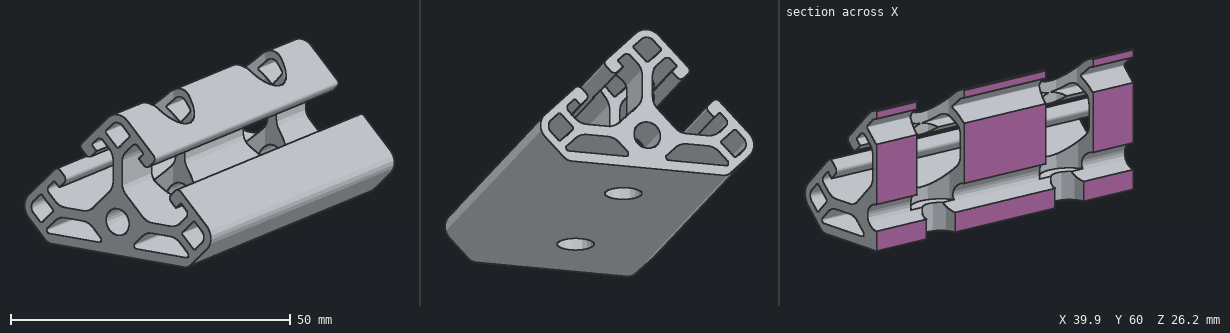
import cadquery as cq
import math

LENGTH = 60.0
FACE_DISTANCE = 15.0
BORE_HEIGHT = 6.25
WALL = 1.5
BASE_THICKNESS = 1.85
WEB_THICKNESS = 1.9
BORE_DIAMETER = 4.9
APEX_RADIUS = 3.05
BASE_CORNER_RADIUS = 2.0

MOUTH_HALF_WIDTH = 3.25
HOOK_HALF_WIDTH = 5.65
CAVITY_HALF_WIDTH = 8.15
SLOT_FLOOR = 5.05
LIP_THICKNESS = 3.0
LIP_RADIUS = 0.9
HOOK_RADIUS = 0.2
SLOT_CORNER_RADIUS = 0.9
SLOT_WEB_RADIUS = 3.0

CELL_INNER = 9.65
CELL_RADIUS = 0.3
BASE_HOLLOW_RADIUS = 3.0
BASE_HOLLOW_TIP_RADIUS = 0.55

SCREW_SPACING = 30.0
SCREW_DIAMETER = 6.6
COUNTERBORE_DIAMETER = 11.0

ROOT2 = math.sqrt(2)
HALF_WEB = WEB_THICKNESS / 2
WALL_INSIDE = FACE_DISTANCE - WALL
LIP_INSIDE = FACE_DISTANCE - LIP_THICKNESS
CORNER_REACH = FACE_DISTANCE * ROOT2
TOP = BORE_HEIGHT + CORNER_REACH
COUNTERBORE_FLOOR = BORE_HEIGHT - HALF_WEB


def slot_point(out, across):
    """X, Z of a point in the left slot; across is positive towards the apex."""
    return ((across - out) / ROOT2, BORE_HEIGHT + (across + out) / ROOT2)


def mirrored(points):
    return [(-x, z) for x, z in points]


def prism(points):
    """Profile area extruded over the full length, centred on Y = 0."""
    return cq.Workplane("XZ").polyline(points).close().extrude(LENGTH / 2, both=True)


def round_edges(body, corners, radius):
    """Fillet the lengthwise edges that pass through the given X, Z corners."""
    edges = []
    for x, z in corners:
        edges += body.edges("|Y").edges(cq.NearestToPointSelector((x, 0, z))).vals()
    return body.newObject(edges).fillet(radius)


def make_envelope():
    base_half_width = CORNER_REACH - BORE_HEIGHT
    apexes = [(CORNER_REACH, BORE_HEIGHT), (0, TOP), (-CORNER_REACH, BORE_HEIGHT)]
    base_corners = [(-base_half_width, 0), (base_half_width, 0)]
    body = prism(apexes + base_corners)
    body = round_edges(body, apexes, APEX_RADIUS)
    return round_edges(body, base_corners, BASE_CORNER_RADIUS)


def make_left_slot():
    mouth_out = FACE_DISTANCE + LIP_THICKNESS
    web_offset = HALF_WEB * ROOT2
    half = [
        (mouth_out, MOUTH_HALF_WIDTH, 0),
        (LIP_INSIDE, MOUTH_HALF_WIDTH, LIP_RADIUS),
        (LIP_INSIDE, HOOK_HALF_WIDTH, 0),
        (WALL_INSIDE, HOOK_HALF_WIDTH, HOOK_RADIUS),
        (WALL_INSIDE, CAVITY_HALF_WIDTH, SLOT_CORNER_RADIUS),
        (CAVITY_HALF_WIDTH + web_offset, CAVITY_HALF_WIDTH, SLOT_WEB_RADIUS),
        (SLOT_FLOOR, SLOT_FLOOR - web_offset, SLOT_WEB_RADIUS),
    ]
    upper = [slot_point(out, across) for out, across, _ in half]
    lower = [slot_point(out, -across) for out, across, _ in half]
    slot = prism(upper + lower[::-1])
    for (_, _, radius), *corners in zip(half, upper, lower):
        if radius > 0:
            slot = round_edges(slot, corners, radius)
    return slot


def make_corner_cell():
    """Square hollow behind the top corner, standing on its point."""
    inner = slot_point(CELL_INNER, CELL_INNER)
    left = slot_point(WALL_INSIDE, CELL_INNER)
    right = slot_point(CELL_INNER, WALL_INSIDE)
    outer = slot_point(WALL_INSIDE, WALL_INSIDE)
    cell = prism([inner, right, outer, left])
    cell = round_edges(cell, [inner, left, right], CELL_RADIUS)
    return round_edges(cell, [outer], APEX_RADIUS - WALL)


def make_left_base_hollow():
    """Hollow between the left web and the base, with 45 degree ends."""
    top = BORE_HEIGHT - HALF_WEB
    depth = BORE_HEIGHT - BASE_THICKNESS
    outer_reach = CAVITY_HALF_WIDTH * ROOT2
    inner_reach = SLOT_FLOOR * ROOT2
    upper = [(-outer_reach - HALF_WEB, top), (-inner_reach + HALF_WEB, top)]
    lower = [(-inner_reach + depth, BASE_THICKNESS), (-outer_reach - depth, BASE_THICKNESS)]
    hollow = round_edges(prism(upper + lower), upper, BASE_HOLLOW_RADIUS)
    return round_edges(hollow, lower, BASE_HOLLOW_TIP_RADIUS)


def cylinder(diameter, bottom, y):
    return cq.Workplane("XY", origin=(0, y, bottom)).circle(diameter / 2).extrude(TOP - bottom)


result = make_envelope()

left_slot = make_left_slot()
result = result.cut(left_slot).cut(left_slot.mirror("YZ"))
mouth_corners = [slot_point(FACE_DISTANCE, side * MOUTH_HALF_WIDTH) for side in (-1, 1)]
result = round_edges(result, mouth_corners + mirrored(mouth_corners), LIP_RADIUS)

top_cell = make_corner_cell()
for angle in (-90, 0, 90):
    result = result.cut(top_cell.rotate((0, 0, BORE_HEIGHT), (0, 1, BORE_HEIGHT), angle))

left_hollow = make_left_base_hollow()
result = result.cut(left_hollow).cut(left_hollow.mirror("YZ"))

bore = cq.Workplane("XZ", origin=(0, 0, BORE_HEIGHT)).circle(BORE_DIAMETER / 2)
result = result.cut(bore.extrude(LENGTH / 2, both=True))

for y in (-SCREW_SPACING / 2, SCREW_SPACING / 2):
    result = result.cut(cylinder(SCREW_DIAMETER, 0, y))
    result = result.cut(cylinder(COUNTERBORE_DIAMETER, COUNTERBORE_FLOOR, y))